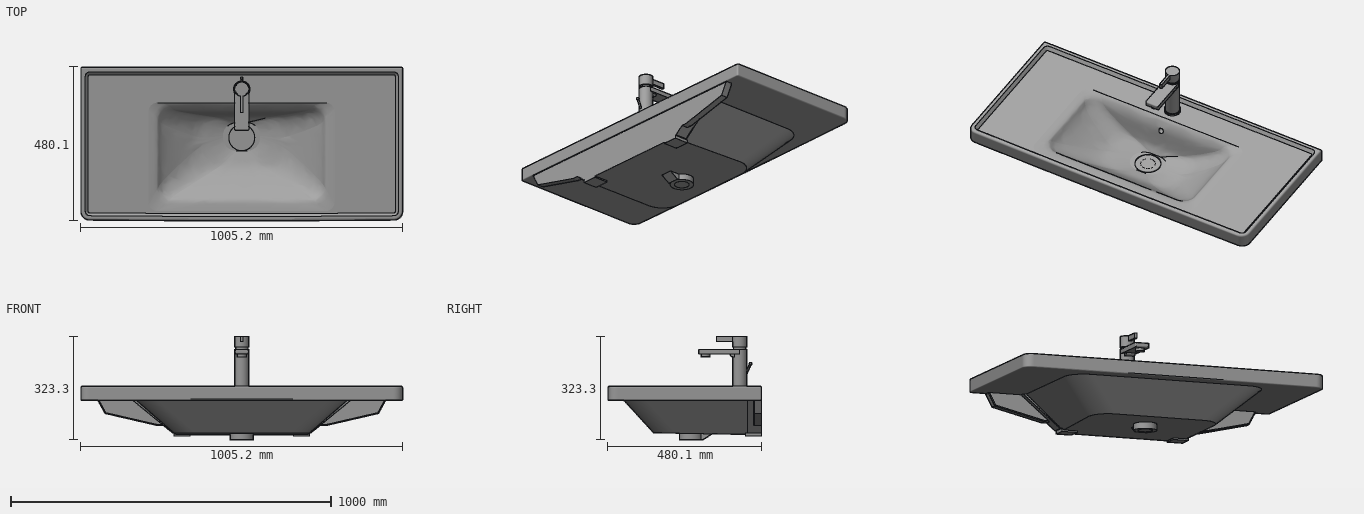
import cadquery as cq
import math


width = 1005.17
depth = 480.08
front_bow = 2.5
slab_height = 44.5
front_corner_radius = 28.0
back_corner_radius = 5.0
rim_fillet = 6.0
underside_fillet = 3.5

deck_drop = 10.6
rim_width = 14.0
rim_slope_width = 9.0
back_rim_width = 15.0
deck_z = -deck_drop

bowl_top_half_width = 329.0
bowl_floor_half_width = 205.0
bowl_top_front_y = -430.0
bowl_floor_front_y = -332.0
bowl_corner_radius = 65.0
bowl_floor_front_z = -146.0
bowl_floor_back_z = -152.0

bowl_plate_margin = 11.0
bowl_plate_thickness = 44.0
wing_thickness = 26.0
wing_top_half_width = 449.0
wing_corner_half_width = 427.0
wing_corner_z = -85.5
wing_inner_half_width = 262.0
wing_inner_z = -123.5
wing_edge_chamfer = 3.0

foot_inner_x = 161.0
foot_width = 51.0
foot_depth = 51.0
foot_bottom_z = -156.0

bowl_levels = [
    (291.0, -111.0, -450.0, deck_z, 30.0),
    (259.0, -126.0, -412.0, -20.0, 38.0),
    (234.0, -140.0, -388.0, -45.0, 44.0),
    (175.0, -151.0, -343.0, -82.0, 56.0),
    (129.0, -160.0, -310.0, -102.0, 60.0),
    (58.0, -173.0, -262.0, -117.0, 42.0),
]
sump_z = bowl_levels[-1][3]

drain_y = -220.0
drain_boss_radius = 36.5
drain_bore_radius = 23.0
drain_boss_bottom_z = -167.83
drain_cap_radius = 40.5
drain_cap_height = 3.5
drain_cap_fillet = 1.5
overflow_duct_width = 40.0
overflow_duct_back_y = -149.0
overflow_radius = 8.0
overflow_z = -42.0
overflow_mouth_y = -150.0
overflow_end_y = -118.0

faucet_y = -68.5
faucet_radius = 22.2
flange_radius = 25.5
flange_height = 6.0
faucet_body_top_z = 115.0
neck_radius = 19.5
handle_bottom_z = 121.5
handle_top_z = 155.5
lever_width = 8.0
lever_height = 16.5
lever_tip_y = -141.0
spout_width = 45.0
spout_height = 15.0
spout_tip_y = -197.0
spout_edge_fillet = 4.0
spout_gusset_drop = 24.0
spout_gusset_width = 30.0
spout_gusset_reach = 8.0
spout_gusset_radius = 9.0
aerator_y = -175.0
aerator_radius = 14.0
aerator_height = 9.0

rod_radius = 3.0
knob_radius = 4.5
knob_y = -34.5
knob_z = 69.5
rod_foot_y = -48.0
rod_foot_z = 40.0


def bowed_outline(z, half_width, back_y, front_y, back_radius, front_radius):
    """Slab outline at height z whose front edge bows outwards to front_y."""
    corner_y = front_y + front_bow
    return (
        cq.Workplane("XY", origin=(0, 0, z))
        .moveTo(-half_width + back_radius, back_y)
        .lineTo(half_width - back_radius, back_y)
        .radiusArc((half_width, back_y - back_radius), back_radius)
        .lineTo(half_width, corner_y + front_radius)
        .radiusArc((half_width - front_radius, corner_y), front_radius)
        .threePointArc((0, front_y), (-half_width + front_radius, corner_y))
        .radiusArc((-half_width, corner_y + front_radius), front_radius)
        .lineTo(-half_width, back_y - back_radius)
        .radiusArc((-half_width + back_radius, back_y), back_radius)
        .close()
    )


def rounded_section(half_width, back_y, front_y, z, corner_radius):
    """Rounded rectangle at height z, used as one level of a loft."""
    section = cq.Sketch().rect(2 * half_width, back_y - front_y).vertices().fillet(corner_radius)
    return section.moved(cq.Location(cq.Vector(0, (back_y + front_y) / 2, z)))


def make_slab():
    slab = bowed_outline(
        -slab_height, width / 2, 0, -depth, back_corner_radius, front_corner_radius
    ).extrude(slab_height)
    slab = slab.faces(">Z").edges().fillet(rim_fillet)
    return slab.faces("<Z").edges().fillet(underside_fillet)


def make_deck_recess():
    recess = bowed_outline(
        0,
        width / 2 - rim_width,
        -back_rim_width,
        -depth + rim_width,
        back_corner_radius + rim_slope_width,
        front_corner_radius - rim_width,
    )
    slope_angle = math.degrees(math.atan(rim_slope_width / deck_drop))
    return recess.extrude(-deck_drop, taper=slope_angle)


def make_bowl_shell():
    behind_wall_y = 2 * bowl_corner_radius
    shell = (
        cq.Workplane("XY")
        .placeSketch(
            rounded_section(
                bowl_top_half_width, behind_wall_y, bowl_top_front_y, -slab_height, bowl_corner_radius
            ),
            rounded_section(
                bowl_floor_half_width,
                behind_wall_y,
                bowl_floor_front_y,
                bowl_floor_back_z,
                bowl_corner_radius,
            ),
        )
        .loft()
    )
    side_profile = (
        cq.Workplane("YZ", origin=(-width / 2, 0, 0))
        .moveTo(0, -slab_height)
        .lineTo(0, bowl_floor_back_z)
        .lineTo(bowl_floor_front_y, bowl_floor_front_z)
        .lineTo(-depth, bowl_floor_front_z)
        .lineTo(-depth, -slab_height)
        .close()
        .extrude(width)
    )
    return shell.intersect(side_profile)


def make_wall_plates():
    bowl_plate = (
        cq.Workplane("XZ")
        .moveTo(-bowl_top_half_width - bowl_plate_margin, -slab_height)
        .lineTo(-bowl_floor_half_width - bowl_plate_margin, bowl_floor_front_z)
        .lineTo(bowl_floor_half_width + bowl_plate_margin, bowl_floor_front_z)
        .lineTo(bowl_top_half_width + bowl_plate_margin, -slab_height)
        .close()
        .extrude(bowl_plate_thickness)
    )
    wings = (
        cq.Workplane("XZ")
        .moveTo(-wing_top_half_width, -slab_height)
        .lineTo(-wing_corner_half_width, wing_corner_z)
        .lineTo(-wing_inner_half_width, wing_inner_z)
        .lineTo(wing_inner_half_width, wing_inner_z)
        .lineTo(wing_corner_half_width, wing_corner_z)
        .lineTo(wing_top_half_width, -slab_height)
        .close()
        .extrude(wing_thickness)
        .faces("<Y")
        .edges("not >Z")
        .chamfer(wing_edge_chamfer)
    )
    return bowl_plate.union(wings)


def make_feet():
    foot_height = bowl_floor_front_z - foot_bottom_z
    foot_center_x = foot_inner_x + foot_width / 2
    return (
        cq.Workplane("XY", origin=(0, -foot_depth / 2, foot_bottom_z))
        .pushPoints([(-foot_center_x, 0), (foot_center_x, 0)])
        .rect(foot_width, foot_depth)
        .extrude(foot_height)
    )


def make_bowl_cavity():
    levels = [rounded_section(*level) for level in bowl_levels]
    return cq.Workplane("XY").placeSketch(*levels).loft()


def make_drain_boss():
    boss = (
        cq.Workplane("XY", origin=(0, drain_y, drain_boss_bottom_z))
        .circle(drain_boss_radius)
        .extrude(sump_z - drain_boss_bottom_z)
    )
    overflow_duct = (
        cq.Workplane("YZ", origin=(-overflow_duct_width / 2, 0, 0))
        .moveTo(overflow_duct_back_y, bowl_floor_front_z)
        .lineTo(drain_y + drain_boss_radius, drain_boss_bottom_z)
        .lineTo(drain_y, drain_boss_bottom_z)
        .lineTo(drain_y, bowl_floor_front_z)
        .close()
        .extrude(overflow_duct_width)
    )
    return boss.union(overflow_duct)


def make_drain_bore():
    return (
        cq.Workplane("XY", origin=(0, drain_y, drain_boss_bottom_z))
        .circle(drain_bore_radius)
        .extrude(sump_z - drain_boss_bottom_z)
    )


def make_overflow_hole():
    return (
        cq.Workplane("XZ", origin=(0, overflow_end_y, overflow_z))
        .circle(overflow_radius)
        .extrude(overflow_end_y - overflow_mouth_y)
    )


def make_basin():
    basin = make_slab().union(make_bowl_shell()).union(make_wall_plates())
    basin = basin.union(make_feet()).union(make_drain_boss())
    basin = basin.cut(make_deck_recess()).cut(make_bowl_cavity())
    return basin.cut(make_drain_bore()).cut(make_overflow_hole())


def make_drain_plug():
    stem = make_drain_bore()
    cap = (
        cq.Workplane("XY", origin=(0, drain_y, sump_z))
        .circle(drain_cap_radius)
        .extrude(drain_cap_height)
        .faces(">Z")
        .edges()
        .fillet(drain_cap_fillet)
    )
    return stem.union(cap)


def faucet_disc(radius, bottom_z, top_z):
    return cq.Workplane("XY", origin=(0, faucet_y, bottom_z)).circle(radius).extrude(top_z - bottom_z)


def make_spout():
    bottom_z = faucet_body_top_z - spout_height
    arm = (
        cq.Workplane("XY", origin=(0, 0, bottom_z))
        .moveTo(-spout_width / 2, faucet_y)
        .lineTo(spout_width / 2, faucet_y)
        .lineTo(spout_width / 2, spout_tip_y)
        .lineTo(-spout_width / 2, spout_tip_y)
        .close()
        .extrude(spout_height)
        .faces("<Y")
        .edges()
        .fillet(spout_edge_fillet)
    )
    front_y = faucet_y - faucet_radius
    gusset = (
        cq.Workplane("YZ", origin=(-spout_gusset_width / 2, 0, 0))
        .moveTo(faucet_y, bottom_z)
        .lineTo(front_y - spout_gusset_reach, bottom_z)
        .radiusArc((front_y, faucet_body_top_z - spout_gusset_drop), -spout_gusset_radius)
        .lineTo(faucet_y, faucet_body_top_z - spout_gusset_drop)
        .close()
        .extrude(spout_gusset_width)
    )
    aerator = (
        cq.Workplane("XY", origin=(0, aerator_y, bottom_z))
        .circle(aerator_radius)
        .extrude(-aerator_height)
    )
    return arm.union(gusset).union(aerator)


def make_pull_rod():
    direction = cq.Vector(0, knob_y - rod_foot_y, knob_z - rod_foot_z)
    foot = cq.Vector(0, rod_foot_y, rod_foot_z)
    rod = cq.Solid.makeCylinder(rod_radius, direction.Length, foot, direction)
    knob = cq.Workplane("XY", origin=(0, knob_y, knob_z)).sphere(knob_radius)
    return knob.union(cq.Workplane(rod))


def make_faucet_body():
    flange = faucet_disc(flange_radius, deck_z, deck_z + flange_height)
    column = faucet_disc(faucet_radius, deck_z, faucet_body_top_z)
    neck = faucet_disc(neck_radius, faucet_body_top_z, handle_bottom_z)
    return column.union(flange).union(neck).union(make_spout()).union(make_pull_rod())


def make_handle():
    grip = faucet_disc(faucet_radius, handle_bottom_z, handle_top_z)
    lever_length = faucet_y - lever_tip_y
    lever = (
        cq.Workplane("XY", origin=(0, faucet_y - lever_length / 2, handle_top_z - lever_height))
        .rect(lever_width, lever_length)
        .extrude(lever_height)
    )
    return grip.union(lever)


basin = make_basin()
drain_plug = make_drain_plug()
faucet_body = make_faucet_body()
handle = make_handle()

result = cq.Compound.makeCompound([basin.val(), drain_plug.val(), faucet_body.val(), handle.val()])